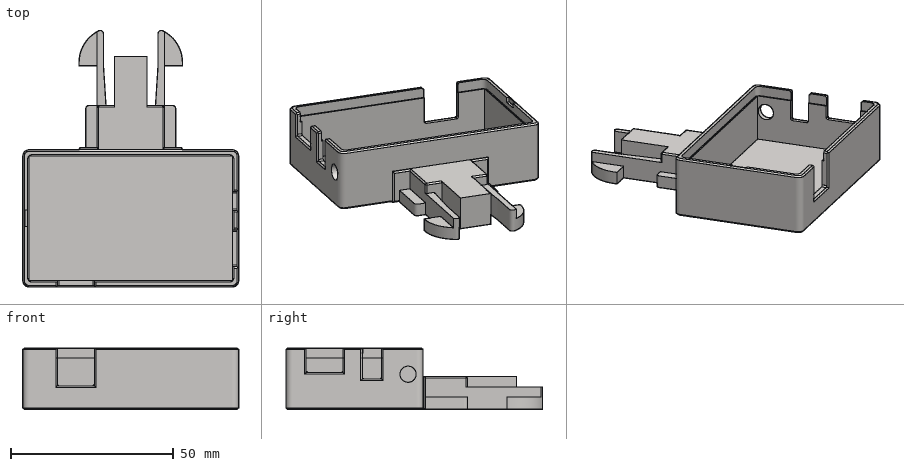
import cadquery as cq
import math


overall_length = 79.0

box_width = 66.5
box_depth = 42.25
box_height = 18.9
corner_radius = 2.0
edge_chamfer = 0.5
wall = 2.0
floor_thickness = 1.5
lip_wall = 1.5
lip_depth = 3.1
lip_corner_radius = 1.5

overcut = 1.6
front_notch_center = -16.9
front_notch_width = 11.4
front_notch_bottom = 7.3
side_notches = [(-15.8, 5.9, 9.3), (-30.3, 11.4, 11.4)]
hole_diameter = 5.0
hole_y = -4.65
hole_z = 10.8
pry_slot_y = -21.1
pry_slot_width = 5.0
pry_slot_wall = 0.7
pry_slot_depth = 1.5

plug_length = overall_length - box_depth
wall_overlap = 1.5
block_width = 20.85
block_length = 13.7
block_height = 10.2
tongue_width = 10.1
tongue_length = 28.75
flange_width = 31.9
flange_thickness = 0.75
shoulder_width = 27.7
shoulder_height = 3.9
shoulder_radius = 1.0
arm_height = 6.95
arm_tip_thickness = 2.05
arm_root_thickness = 2.85
arm_start_y = 11.7
taper_end_y = 26.05
barb_reach = 15.95
barb_base_y = 25.8
barb_radius = 11.0
tip_radius = 1.0


def block(x_range, y_range, z_range):
    """Axis-aligned block between the given limits."""
    (x0, x1), (y0, y1), (z0, z1) = x_range, y_range, z_range
    return cq.Workplane("XY").box(x1 - x0, y1 - y0, z1 - z0, centered=False).translate((x0, y0, z0))


def make_box():
    """Rounded shell with a wider recess around the rim that leaves a ledge for a lid."""
    def inset_block(inset, bottom, top):
        half_width = box_width / 2 - inset
        return block((-half_width, half_width), (inset - box_depth, -inset), (bottom, top))

    shell = inset_block(0, 0, box_height).edges("|Z").fillet(corner_radius)
    shell = shell.faces("<Z or >Z").edges().chamfer(edge_chamfer)
    cavity = inset_block(wall, floor_thickness, box_height)
    lid_recess = inset_block(lip_wall, box_height - lip_depth, box_height)
    lid_recess = lid_recess.edges("|Z").fillet(lip_corner_radius)
    return shell.cut(cavity).cut(lid_recess)


def notch_cutter(width, bottom):
    """Cutter for an open-topped notch in a wall whose outer face is the plane Y = 0, facing -Y.

    Its bottom corners are bevelled, its mouth is chamfered at the rim and its outer edges are chamfered.
    """
    half = width / 2
    top = box_height + overcut
    passage = (
        cq.Workplane("XZ")
        .moveTo(edge_chamfer - half, bottom)
        .lineTo(half - edge_chamfer, bottom)
        .lineTo(half, bottom + edge_chamfer)
        .lineTo(half, box_height - edge_chamfer)
        .lineTo(half + edge_chamfer + overcut, top)
        .lineTo(-half - edge_chamfer - overcut, top)
        .lineTo(-half, box_height - edge_chamfer)
        .lineTo(-half, bottom + edge_chamfer)
        .close()
        .extrude(-(wall + overcut))
    )
    middle_z = (bottom + top) / 2
    flare = (
        cq.Workplane("XZ", origin=(0, 0, middle_z))
        .rect(width + 2 * edge_chamfer, top - bottom + 2 * edge_chamfer)
        .workplane(offset=-edge_chamfer)
        .rect(width, top - bottom)
        .loft(ruled=True)
    )
    return passage.union(flare)


def cut_openings(body):
    """Front notch, two notches and a round hole in the +X wall, pry slot in the -X rim."""
    front = notch_cutter(front_notch_width, front_notch_bottom)
    body = body.cut(front.translate((front_notch_center, -box_depth, 0)))
    for center_y, width, bottom in side_notches:
        side = notch_cutter(width, bottom).rotate((0, 0, 0), (0, 0, 1), 90)
        body = body.cut(side.translate((box_width / 2, center_y, 0)))

    hole = cq.Workplane("YZ", origin=(box_width / 2 - wall - overcut, hole_y, hole_z))
    body = body.cut(hole.circle(hole_diameter / 2).extrude(wall + 2 * overcut))

    slot_x = pry_slot_wall - box_width / 2
    slot = block(
        (slot_x, lip_wall - box_width / 2),
        (pry_slot_y - pry_slot_width / 2, pry_slot_y + pry_slot_width / 2),
        (box_height - pry_slot_depth, box_height + overcut),
    )
    return body.cut(slot)


def make_base():
    """Chamfered centre block, tongue, low shoulders and the flange against the back wall."""
    def centered(width, length, height):
        return block((-width / 2, width / 2), (-wall_overlap, length), (0, height))

    center_block = centered(block_width, block_length, block_height)
    center_block = center_block.edges("|Z and >Y").chamfer(edge_chamfer)
    center_block = center_block.faces(">Z").edges("not <Y").chamfer(edge_chamfer)
    tongue = centered(tongue_width, tongue_length, block_height)
    shoulders = centered(shoulder_width, block_length, shoulder_height)
    shoulders = shoulders.edges("|Z and >Y").fillet(shoulder_radius)
    flange = centered(flange_width, flange_thickness, block_height)
    flange = flange.faces(">Y").edges().chamfer(edge_chamfer)
    return center_block.union(tongue).union(shoulders).union(flange)


def make_arm():
    """Spring arm on the +X side: tapered prong rooted in the centre block, with a barb on its lower part."""
    outer_x = block_width / 2
    tip_x = outer_x - arm_tip_thickness
    root_x = outer_x - arm_root_thickness

    arc_x = barb_reach - barb_radius
    rounding_rise = math.sqrt((barb_radius - tip_radius) ** 2 - (tip_x + tip_radius - arc_x) ** 2)
    arc_y = plug_length - tip_radius - rounding_rise

    def on_arc(x):
        return x, arc_y + math.sqrt(barb_radius ** 2 - (x - arc_x) ** 2)

    prong = (
        cq.Workplane("XY")
        .moveTo(root_x, arm_start_y)
        .lineTo(root_x, block_length)
        .lineTo(tip_x, taper_end_y)
        .lineTo(*on_arc(tip_x))
        .threePointArc(on_arc((tip_x + outer_x) / 2), on_arc(outer_x))
        .lineTo(outer_x, arm_start_y)
        .close()
        .extrude(arm_height)
    )
    prong = prong.edges("|Z and >Y").fillet(tip_radius)
    barb = (
        cq.Workplane("XY")
        .moveTo(outer_x, barb_base_y)
        .lineTo(barb_reach, barb_base_y)
        .lineTo(barb_reach, arc_y)
        .threePointArc(on_arc((outer_x + barb_reach) / 2), on_arc(outer_x))
        .close()
        .extrude(shoulder_height)
    )
    return prong.union(barb)


arm = make_arm()
plug = make_base().union(arm).union(arm.mirror("YZ"))
result = cut_openings(make_box()).union(plug)